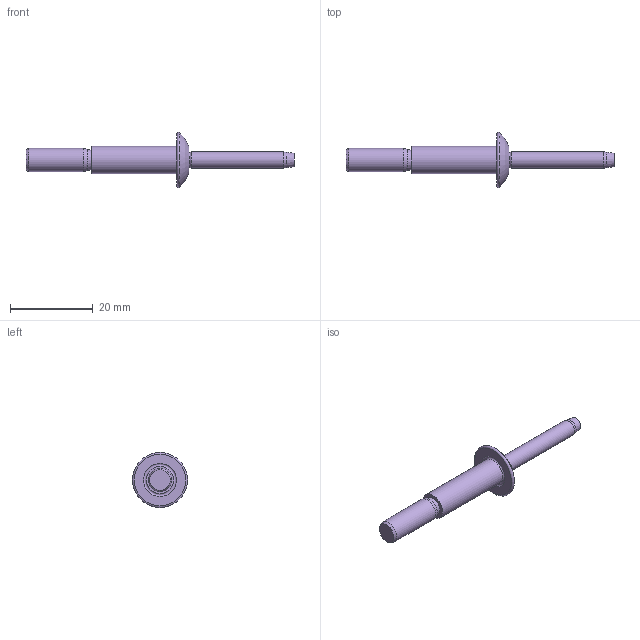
import cadquery as cq
import math

part_axis = ((0, 0, 0), (1, 0, 0))

total_length = 64.8
stem_chamfer_end = 0.65
stem_shoulder_start = 13.95
neck_taper_start = 14.75
sleeve_start = 15.85
head_underside = 36.45
dome_end = 39.4
pin_start = 39.65
pin_chamfer_end = 39.9
pin_shoulder_start = 62.25
tip_taper_start = 62.95

stem_radius = 2.82
stem_face_radius = 2.5
stem_shoulder_radius = 2.63
neck_radius = 2.3
sleeve_radius = 3.28
head_radius = 6.665
head_seat_radius = 6.25
groove_outer_radius = 4.02
pin_radius = 2.02
pin_root_radius = 1.87
pin_shoulder_radius = 1.88
tip_radius = 1.65

dome_centre = 31.0
rim_radius = head_radius - head_seat_radius
rim_centre_x = head_underside + rim_radius
rim_centre_offset = rim_centre_x - dome_centre
dome_radius = math.hypot(rim_centre_offset, head_seat_radius) + rim_radius
blend_angle = math.atan2(head_seat_radius, rim_centre_offset)


def dome_point(angle):
    """Point of the dome profile at an angle from +X about the dome centre."""
    return (dome_centre + dome_radius * math.cos(angle), dome_radius * math.sin(angle))


def make_body():
    """Stem, sleeve, domed head and pin revolved as one profile about X."""
    dome_top_angle = math.acos((dome_end - dome_centre) / dome_radius)
    dome_middle_angle = (blend_angle + dome_top_angle) / 2
    profile = (
        cq.Workplane("XY")
        .moveTo(0, 0)
        .lineTo(0, stem_face_radius)
        .lineTo(stem_chamfer_end, stem_radius)
        .lineTo(stem_shoulder_start, stem_radius)
        .lineTo(neck_taper_start, stem_shoulder_radius)
        .lineTo(sleeve_start, neck_radius)
        .lineTo(sleeve_start, sleeve_radius)
        .lineTo(head_underside, sleeve_radius)
        .lineTo(head_underside, head_seat_radius)
        .threePointArc((rim_centre_x, head_radius), dome_point(blend_angle))
        .threePointArc(dome_point(dome_middle_angle), dome_point(dome_top_angle))
        .lineTo(dome_end, pin_root_radius)
        .lineTo(pin_start, pin_root_radius)
        .lineTo(pin_chamfer_end, pin_radius)
        .lineTo(pin_shoulder_start, pin_radius)
        .lineTo(tip_taper_start, pin_shoulder_radius)
        .lineTo(total_length, tip_radius)
        .lineTo(total_length, 0)
        .close()
    )
    return profile.revolve(360, *part_axis)


def make_groove():
    """Half-round ring groove in the head's underside, around the sleeve."""
    groove_radius = (groove_outer_radius - sleeve_radius) / 2
    groove_bottom = (head_underside + groove_radius, groove_outer_radius - groove_radius)
    profile = (
        cq.Workplane("XY")
        .moveTo(head_underside, sleeve_radius)
        .threePointArc(groove_bottom, (head_underside, groove_outer_radius))
        .close()
    )
    return profile.revolve(360, *part_axis)


result = make_body().cut(make_groove())